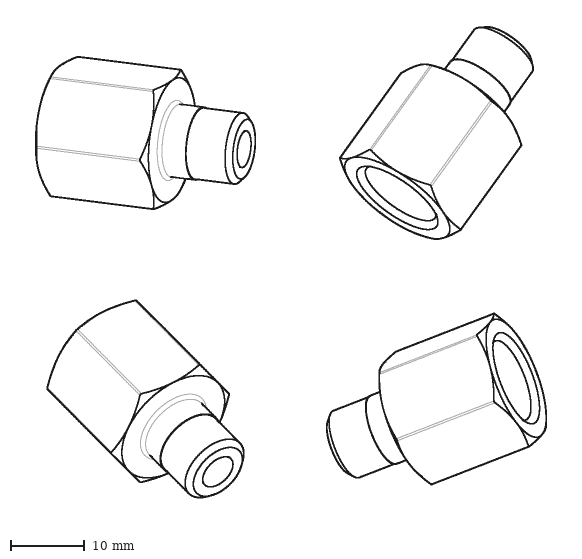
import cadquery as cq
import math

HEX_SIDES = 6
HEX_ACROSS_FLATS = 17.0
HEX_LENGTH = 16.5
HEX_EDGE_RADIUS = 0.3
HEX_END_CHAMFER_ANGLE = 30.0

TOTAL_LENGTH = 27.0
COLLAR_DIAMETER = 9.93
COLLAR_LENGTH = 4.0
SPIGOT_DIAMETER = 9.73
TIP_CHAMFER = 0.8

SOCKET_DIAMETER = 11.45
SOCKET_MOUTH_DIAMETER = 13.15
SOCKET_THREAD_DEPTH = 9.0
RELIEF_DIAMETER = 11.64
SOCKET_DEPTH = 13.0

BORE_DIAMETER = 5.0
BORE_CHAMFER = 0.5

CORNER_RADIUS = 0.5


def revolve_about_x(profile):
    """Revolve a closed XY profile a full turn about the X axis."""
    return profile.close().revolve(360, (0, 0, 0), (1, 0, 0))


def arc_middle(center_x, center_r, angle):
    """Point on a corner arc at the given angle, in degrees, around its centre."""
    direction = math.radians(angle)
    return (
        center_x + CORNER_RADIUS * math.cos(direction),
        center_r + CORNER_RADIUS * math.sin(direction),
    )


def hex_body():
    """Hexagonal prism with rounded long edges and conical chamfers on both ends."""
    across_corners = HEX_ACROSS_FLATS / math.cos(math.pi / HEX_SIDES)
    prism = (
        cq.Workplane("YZ")
        .polygon(HEX_SIDES, across_corners)
        .extrude(HEX_LENGTH)
        .edges("|X")
        .fillet(HEX_EDGE_RADIUS)
    )
    face_radius = HEX_ACROSS_FLATS / 2
    corner_radius = across_corners / 2
    chamfer_length = (corner_radius - face_radius) * math.tan(math.radians(HEX_END_CHAMFER_ANGLE))
    envelope = revolve_about_x(
        cq.Workplane("XY")
        .lineTo(0, face_radius)
        .lineTo(chamfer_length, corner_radius)
        .lineTo(HEX_LENGTH - chamfer_length, corner_radius)
        .lineTo(HEX_LENGTH, face_radius)
        .lineTo(HEX_LENGTH, 0)
    )
    return prism.intersect(envelope)


def spigot():
    """Stepped round spigot with a concave root against the hexagon and a chamfered tip."""
    collar_radius = COLLAR_DIAMETER / 2
    spigot_radius = SPIGOT_DIAMETER / 2
    root_end = HEX_LENGTH + CORNER_RADIUS
    root_radius = collar_radius + CORNER_RADIUS
    collar_end = HEX_LENGTH + COLLAR_LENGTH
    start = HEX_LENGTH - CORNER_RADIUS
    return revolve_about_x(
        cq.Workplane("XY")
        .moveTo(start, 0)
        .lineTo(start, root_radius)
        .lineTo(HEX_LENGTH, root_radius)
        .threePointArc(arc_middle(root_end, root_radius, 225), (root_end, collar_radius))
        .lineTo(collar_end, collar_radius)
        .lineTo(collar_end, spigot_radius)
        .lineTo(TOTAL_LENGTH - TIP_CHAMFER, spigot_radius)
        .lineTo(TOTAL_LENGTH, spigot_radius - TIP_CHAMFER)
        .lineTo(TOTAL_LENGTH, 0)
    )


def passage():
    """Material removed along the axis: chamfered socket, relief and through bore."""
    mouth_radius = SOCKET_MOUTH_DIAMETER / 2
    socket_radius = SOCKET_DIAMETER / 2
    relief_radius = RELIEF_DIAMETER / 2
    bore_radius = BORE_DIAMETER / 2
    mouth_depth = mouth_radius - socket_radius
    floor_start = SOCKET_DEPTH - CORNER_RADIUS
    floor_radius = relief_radius - CORNER_RADIUS
    return revolve_about_x(
        cq.Workplane("XY")
        .lineTo(0, mouth_radius)
        .lineTo(mouth_depth, socket_radius)
        .lineTo(SOCKET_THREAD_DEPTH, socket_radius)
        .lineTo(SOCKET_THREAD_DEPTH, relief_radius)
        .lineTo(floor_start, relief_radius)
        .threePointArc(arc_middle(floor_start, floor_radius, 45), (SOCKET_DEPTH, floor_radius))
        .lineTo(SOCKET_DEPTH, bore_radius + BORE_CHAMFER)
        .lineTo(SOCKET_DEPTH + BORE_CHAMFER, bore_radius)
        .lineTo(TOTAL_LENGTH, bore_radius)
        .lineTo(TOTAL_LENGTH, 0)
    )


result = hex_body().union(spigot()).cut(passage())